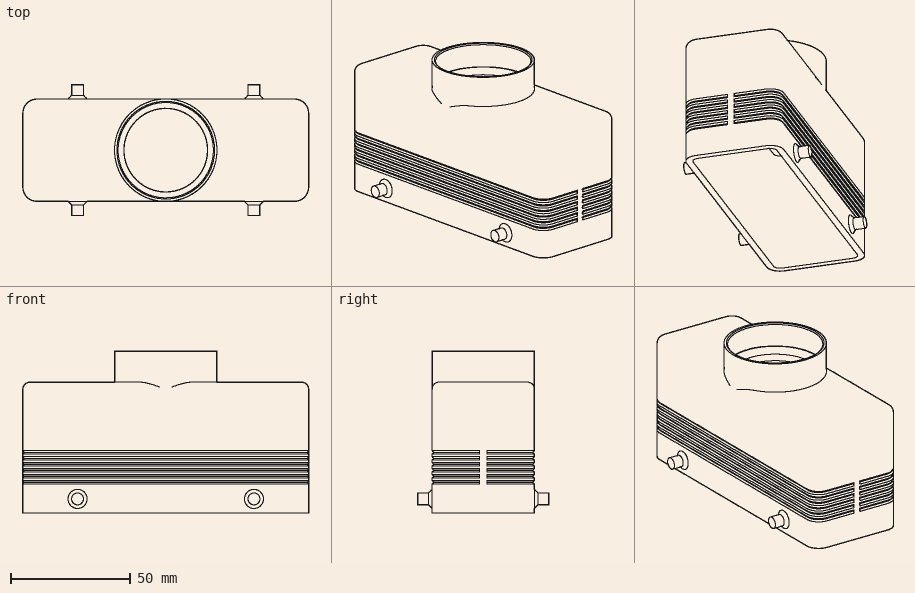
import cadquery as cq
import math

LENGTH = 120.0
WIDTH = 43.0
BODY_HEIGHT = 55.0
CORNER_RADIUS = 6.0
TOP_FILLET = 3.0
WALL = 3.0

TOTAL_HEIGHT = 68.0
COLLAR_RADIUS = WIDTH / 2
BORE_RADIUS = 20.0
BORE_DEPTH = 10.5
RIM_CHAMFER = 0.5
RELIEF_RADIUS = 20.5
SEAT_FILLET = 1.5
ENTRY_RADIUS = 17.5

GROOVE_COUNT = 6
GROOVE_PITCH = 2.5
GROOVE_WIDTH = 1.5
GROOVE_FLOOR = 0.1
GROOVE_DEPTH = (GROOVE_WIDTH - GROOVE_FLOOR) / 2
GROOVE_OVERSHOOT = 0.2
LOWEST_GROOVE_Z = 13.0
GROOVE_GAP = 3.0

PIN_X = 37.0
PIN_Z = 6.0
PIN_RADIUS = 2.5
PIN_SPAN = 55.0
PIN_BASE_RADIUS = 4.0
PIN_BASE_HEIGHT = PIN_BASE_RADIUS - PIN_RADIUS


def rounded_block(length, width, height, corner_radius):
    """Upright block with rounded vertical edges, standing on Z = 0."""
    block = cq.Workplane("XY").box(length, width, height, centered=(True, True, False))
    return block.edges("|Z").fillet(corner_radius)


def body_block():
    """Solid outer shape with a rounded roof edge."""
    block = rounded_block(LENGTH, WIDTH, BODY_HEIGHT, CORNER_RADIUS)
    return block.faces(">Z").edges().fillet(TOP_FILLET)


def cavity():
    """Hollow interior, open at the bottom, leaving an even wall and roof."""
    return rounded_block(
        LENGTH - 2 * WALL,
        WIDTH - 2 * WALL,
        BODY_HEIGHT - WALL,
        CORNER_RADIUS - WALL,
    )


def groove(z):
    """45-degree groove round the outline, interrupted in the middle of both end faces."""
    wall_y = -WIDTH / 2
    floor_y = wall_y + GROOVE_DEPTH
    outer_y = wall_y - GROOVE_OVERSHOOT
    half_floor = GROOVE_FLOOR / 2
    half_mouth = GROOVE_WIDTH / 2 + GROOVE_OVERSHOOT
    profile = (
        cq.Workplane("YZ")
        .moveTo(outer_y, z - half_mouth)
        .lineTo(floor_y, z - half_floor)
        .lineTo(floor_y, z + half_floor)
        .lineTo(outer_y, z + half_mouth)
        .close()
    )
    path = rounded_block(LENGTH, WIDTH, z, CORNER_RADIUS).faces(">Z").wires()
    ring = profile.sweep(path)
    gap = cq.Workplane("XY").box(2 * LENGTH, GROOVE_GAP, 2 * BODY_HEIGHT)
    return ring.cut(gap)


def collar():
    """Round collar reaching down through the rounded roof edge."""
    base_z = BODY_HEIGHT - TOP_FILLET
    base = cq.Workplane("XY").workplane(offset=base_z)
    return base.circle(COLLAR_RADIUS).extrude(TOTAL_HEIGHT - base_z)


def entry_bore():
    """Stepped entry: chamfered rim, bore, relief with a rounded seat, and through hole."""
    rim_radius = BORE_RADIUS + RIM_CHAMFER
    bore_end_z = TOTAL_HEIGHT - BORE_DEPTH
    seat_radius = RELIEF_RADIUS - SEAT_FILLET
    seat_arc_end = (seat_radius, BODY_HEIGHT)
    arc_mid_offset = SEAT_FILLET * math.sin(math.radians(45))
    seat_arc_mid = (
        seat_radius + arc_mid_offset,
        BODY_HEIGHT + SEAT_FILLET - arc_mid_offset,
    )
    roof_underside_z = BODY_HEIGHT - WALL
    half_section = (
        cq.Workplane("XZ")
        .moveTo(0, TOTAL_HEIGHT)
        .lineTo(rim_radius, TOTAL_HEIGHT)
        .lineTo(BORE_RADIUS, TOTAL_HEIGHT - RIM_CHAMFER)
        .lineTo(BORE_RADIUS, bore_end_z)
        .lineTo(RELIEF_RADIUS, bore_end_z)
        .lineTo(RELIEF_RADIUS, BODY_HEIGHT + SEAT_FILLET)
        .threePointArc(seat_arc_mid, seat_arc_end)
        .lineTo(ENTRY_RADIUS, BODY_HEIGHT)
        .lineTo(ENTRY_RADIUS, roof_underside_z)
        .lineTo(0, roof_underside_z)
        .close()
    )
    return half_section.revolve(360, (0, 0, 0), (0, 1, 0))


def pin(x, side):
    """Locking pin with a conical foot; side is -1 for the -Y wall, +1 for the +Y wall."""
    wall_y = WIDTH / 2
    root_y = wall_y - WALL / 2
    half_section = (
        cq.Workplane("XY")
        .moveTo(x, side * root_y)
        .lineTo(x + PIN_BASE_RADIUS, side * root_y)
        .lineTo(x + PIN_BASE_RADIUS, side * wall_y)
        .lineTo(x + PIN_RADIUS, side * (wall_y + PIN_BASE_HEIGHT))
        .lineTo(x + PIN_RADIUS, side * PIN_SPAN / 2)
        .lineTo(x, side * PIN_SPAN / 2)
        .close()
    )
    turned = half_section.revolve(360, (x, 0, 0), (x, 1, 0))
    return turned.translate((0, 0, PIN_Z))


result = body_block().union(collar()).cut(cavity()).cut(entry_bore())

for index in range(GROOVE_COUNT):
    result = result.cut(groove(LOWEST_GROOVE_Z + index * GROOVE_PITCH))

for pin_x in (-PIN_X, PIN_X):
    for pin_side in (-1, 1):
        result = result.union(pin(pin_x, pin_side))